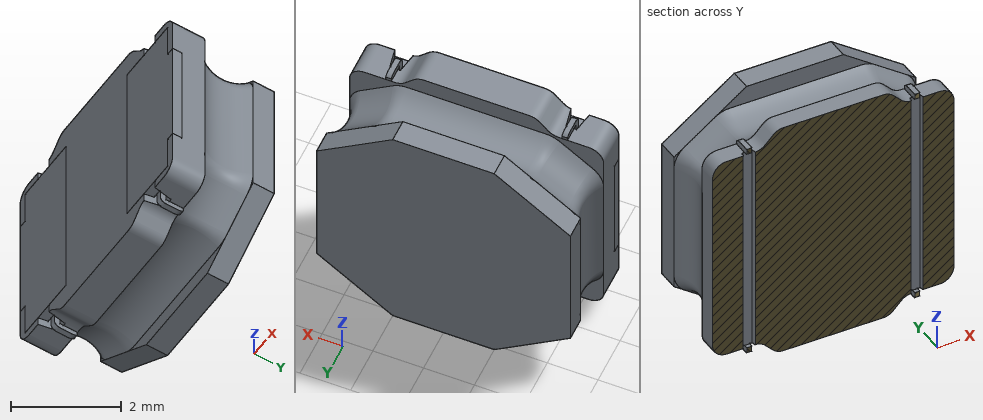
import cadquery as cq
import math


side = 5.0
depth = 2.2
half = side / 2

base_depth = 0.7
flange_depth = 0.46
waist_depth = depth - base_depth - flange_depth

flange_edge_half_x = 1.0
flange_edge_half_z = 1.45
chamfer_angle = math.atan2(half - flange_edge_half_z, half - flange_edge_half_x)

waist_half_z = 2.135
waist_corner_radius = 0.5
waist_hollow = 0.17

base_shoulder_z = 2.16
base_crown_half_x = 1.155
base_corner_radius = 0.3
base_slope_end_x = base_crown_half_x + half - base_shoulder_z

terminal_thickness = 0.2
terminal_inner_x = 1.005
terminal_outer_x = 2.335
terminal_half_z = 1.975
tab_half_z = 1.21

slot_x = 1.735
slot_depth = 0.4
slot_mouth_width = 0.36
slot_floor_width = 0.21

wire_width = 0.11
wire_half_z = 2.28
wire_thickness = wire_half_z - base_shoulder_z
wire_back_run = 0.125
wire_back_drop = 0.055


def mirrored_outline(quarter):
    """Close an outline of (x, z) points in the first quadrant by mirroring it in both axes."""
    right = quarter + [(x, -z) for x, z in reversed(quarter)]
    return right + [(-x, z) for x, z in reversed(right)]


def prism(outline, start, thickness):
    """Extrude an outline of (x, z) points along +Y from Y = start."""
    return cq.Workplane("XZ", origin=(0, start, 0)).polyline(outline).close().extrude(-thickness)


def make_flange():
    """Octagonal plate at the back."""
    quarter = [(flange_edge_half_x, half), (half, flange_edge_half_z)]
    return prism(mirrored_outline(quarter), base_depth + waist_depth, flange_depth)


def make_waist():
    """Block with rounded corners and a concave arc hollowed out all round its rim."""
    corner_x = flange_edge_half_x + (half - waist_half_z) / math.tan(chamfer_angle)
    quarter = [(corner_x, waist_half_z), (half, flange_edge_half_z)]
    block = prism(mirrored_outline(quarter), base_depth, waist_depth)
    block = block.edges("|Y").fillet(waist_corner_radius)

    back = base_depth + waist_depth
    middle = base_depth + waist_depth / 2
    rim = block.faces("<Y").wires().val()
    hollow = (
        cq.Workplane("YZ")
        .moveTo(base_depth, waist_half_z)
        .threePointArc((middle, waist_half_z - waist_hollow), (back, waist_half_z))
        .lineTo(back, half)
        .lineTo(base_depth, half)
        .close()
        .sweep(cq.Workplane(rim))
    )
    return block.cut(hollow)


def make_slot(x):
    """Tapered channel along Z, widest at the mounting face."""
    mouth = slot_mouth_width / 2
    floor = slot_floor_width / 2
    section = [(x - mouth, 0), (x + mouth, 0), (x + floor, slot_depth), (x - floor, slot_depth)]
    return cq.Workplane("XY").polyline(section).close().extrude(half, both=True)


def make_terminal(direction):
    """Flat plate with a narrower tab that reaches the outer side of the base."""
    quarter = [
        (terminal_inner_x, terminal_half_z),
        (terminal_outer_x, terminal_half_z),
        (terminal_outer_x, tab_half_z),
        (half, tab_half_z),
    ]
    outline = quarter + [(x, -z) for x, z in reversed(quarter)]
    return prism([(direction * x, z) for x, z in outline], 0, terminal_thickness)


def make_base(terminals):
    """Rounded base with sloped shoulders, wire slots and recesses for the terminals."""
    quarter = [
        (base_crown_half_x, half),
        (base_slope_end_x, base_shoulder_z),
        (half, base_shoulder_z),
    ]
    base = prism(mirrored_outline(quarter), 0, base_depth)
    base = base.edges("|Y").fillet(base_corner_radius)
    for direction, terminal in terminals.items():
        base = base.cut(make_slot(direction * slot_x)).cut(terminal)
    return base


def make_wire(x):
    """Flat wire along a slot, touching the terminal, with ends bent back over the base shoulders."""
    left = x - wire_width / 2
    right = x + wire_width / 2
    strip = [
        (left, -base_shoulder_z),
        (right, -base_shoulder_z),
        (right, base_shoulder_z),
        (left, base_shoulder_z),
    ]
    bar = prism(strip, terminal_thickness, wire_thickness)

    bend = wire_thickness * math.sqrt(0.5)
    back_radius = (wire_back_run**2 + wire_back_drop**2) / (2 * wire_back_drop)
    half_run = wire_back_run / 2
    half_drop = back_radius - math.sqrt(back_radius**2 - half_run**2)
    hook = (
        cq.Workplane("YZ", origin=(x, 0, 0))
        .moveTo(terminal_thickness, base_shoulder_z)
        .threePointArc(
            (terminal_thickness + wire_thickness - bend, base_shoulder_z + bend),
            (terminal_thickness + wire_thickness, wire_half_z),
        )
        .lineTo(base_depth - wire_back_run, wire_half_z)
        .threePointArc(
            (base_depth - half_run, wire_half_z - half_drop),
            (base_depth, wire_half_z - wire_back_drop),
        )
        .lineTo(base_depth, base_shoulder_z)
        .close()
        .extrude(wire_width / 2, both=True)
    )
    return bar.union(hook).union(hook.mirror("XY"))


flange = make_flange()
waist = make_waist()
terminals = {direction: make_terminal(direction) for direction in (-1, 1)}
base = make_base(terminals)
wires = [make_wire(direction * slot_x) for direction in (-1, 1)]

result = cq.Compound.makeCompound(
    [
        flange.val(),
        waist.val(),
        base.val(),
        *[terminal.val() for terminal in terminals.values()],
        *[wire.val() for wire in wires],
    ]
)